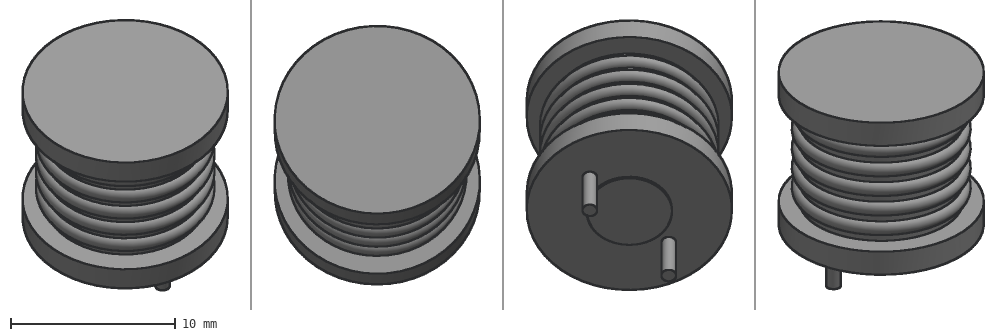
import cadquery as cq

FLANGE_DIAMETER = 12.5
FLANGE_THICKNESS = 1.62
POST_DIAMETER = 2.5
BODY_HEIGHT = 10.65

DRUM_DIAMETER = 10.0
DRUM_GAP = 0.05

WIRE_DIAMETER = 0.9
TURN_COUNT = 5
TURN_PITCH = 1.37

STANDOFF_DIAMETER = 5.2
STANDOFF_HEIGHT = 0.15

PIN_DIAMETER = 0.9
PIN_SPACING = 7.0
PIN_LENGTH = 3.2

body_bottom = STANDOFF_HEIGHT
body_top = body_bottom + BODY_HEIGHT
upper_flange_bottom = body_top - FLANGE_THICKNESS
drum_bottom = body_bottom + FLANGE_THICKNESS + DRUM_GAP
drum_top = upper_flange_bottom - DRUM_GAP
winding_middle = (drum_bottom + drum_top) / 2


def disc(diameter, bottom, height, x=0):
    """Upright cylinder whose lower face is at the given height."""
    return cq.Workplane("XY", origin=(x, 0, bottom)).circle(diameter / 2).extrude(height)


def bobbin():
    """Central post with a flange at each end and a standoff below."""
    post = disc(POST_DIAMETER, body_bottom, BODY_HEIGHT)
    lower_flange = disc(FLANGE_DIAMETER, body_bottom, FLANGE_THICKNESS)
    upper_flange = disc(FLANGE_DIAMETER, upper_flange_bottom, FLANGE_THICKNESS)
    standoff = disc(STANDOFF_DIAMETER, 0, STANDOFF_HEIGHT)
    return post.union(lower_flange).union(upper_flange).union(standoff)


def wire_turn(height):
    """Closed ring of round wire, centred on the surface of the drum."""
    ring_radius = DRUM_DIAMETER / 2
    section = (
        cq.Workplane("XZ")
        .center(ring_radius, height)
        .transformed(rotate=(0, 0, 180))
        .circle(WIRE_DIAMETER / 2)
    )
    return section.revolve(360, (ring_radius, 0), (ring_radius, 1))


def winding():
    """Drum around the post, just clear of both flanges, with its wire turns."""
    coil = disc(DRUM_DIAMETER, drum_bottom, drum_top - drum_bottom)
    for turn in range(TURN_COUNT):
        offset = (turn - (TURN_COUNT - 1) / 2) * TURN_PITCH
        coil = coil.union(wire_turn(winding_middle + offset))
    return coil


def pin(x):
    """Straight round pin hanging from the lower flange."""
    return disc(PIN_DIAMETER, body_bottom - PIN_LENGTH, PIN_LENGTH, x)


result = bobbin().union(winding())

for side in (-1, 1):
    result = result.union(pin(side * PIN_SPACING / 2))